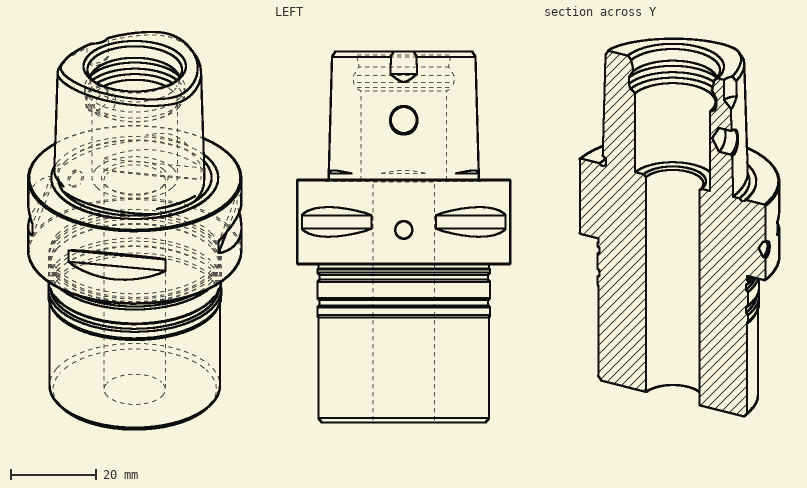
import cadquery as cq
import math

total_height = 87.0
flange_dia = 50.0
flange_bottom = 37.1
flange_top = 57.0
flange_chamfer = 0.3

shank_bottom = 59.2
shank_radius = 17.6
lobe_height = 1.3
taper = 0.028
span_count = 6
span_steps = 8
shank_edge_height = 1.3
shank_edge_inset = 0.8

neck_radius = 18.0
neck_slope_height = 0.8
neck_slope_width = 1.0
face_groove_radius = 19.6
face_groove_depth = 0.5

pilot_dia = 40.0
collar_dia = 40.5
groove_dia = 39.5
collar_step = (collar_dia - pilot_dia) / 2
groove_step = (collar_dia - groove_dia) / 2
lip_top = 35.85
lip_bottom = 35.15
upper_collar_top = 33.0
upper_collar_bottom = 29.2
lower_collar_top = 27.0
lower_collar_bottom = 25.2
pilot_shoulder = 24.6
pilot_chamfer_height = 1.05
pilot_chamfer_inset = 0.9

bore_dia = 14.35
bore_mouth_dia = 15.6
counterbore_dia = 20.0
counterbore_floor = flange_top
counterbore_top = 77.7
mouth_dia = 24.0
socket_dia = 22.2
socket_throat_dia = 21.0
socket_groove_dia = 23.5
socket_groove_top = 83.35
socket_groove_edge = 81.35
socket_groove_bottom = 79.7
socket_seat_dia = 22.6
socket_seat_height = 78.5

slot_count = 4
slot_floor_distance = 22.2
slot_floor_width = 3.05
slot_corner_depth = 0.65
slot_corner_rise = 0.565
slot_mouth_width = 7.0
slot_height = (flange_bottom + flange_top) / 2

notch_radius = 3.7
notch_axis = 17.6
notch_bottom = 81.7
pocket_dia = 6.1
pocket_height = 70.9
pocket_depth = 3.5
pocket_chamfer = 0.35
dimple_dia = 4.0
dimple_height = 45.15
dimple_depth = 0.7
dimple_chamfer = 0.1
drill_point_angle = 118


def revolve_profile(points):
    """Revolve an (r, z) outline about the Z axis."""
    return cq.Workplane("XZ").polyline(points).close().revolve(360, (0, 0), (0, 1))


def lobed_section(height, radius):
    """Closed three-lobed curve of width 2 * radius, with one lobe toward +X.

    It is made of smooth spans, meeting midway between each lobe and its neighbouring flat.
    """

    def point(angle):
        x = radius * math.cos(angle) + lobe_height * (2 * math.cos(2 * angle) - math.cos(4 * angle))
        y = radius * math.sin(angle) - lobe_height * (2 * math.sin(2 * angle) + math.sin(4 * angle))
        return cq.Vector(x, y, height)

    def tangent(angle):
        return cq.Vector(-math.sin(angle), math.cos(angle), 0)

    span = 2 * math.pi / span_count
    edges = []
    for index in range(span_count):
        start = (index + 0.5) * span
        points = [point(start + span * step / span_steps) for step in range(span_steps + 1)]
        edges.append(cq.Edge.makeSpline(points, tangents=[tangent(start), tangent(start + span)]))
    return cq.Wire.assembleEdges(edges)


def lobed_frustum(bottom, bottom_radius, top, top_radius):
    """Tapered solid between two lobed sections."""
    sections = [lobed_section(bottom, bottom_radius), lobed_section(top, top_radius)]
    return cq.Workplane(cq.Solid.makeLoft(sections, True))


def make_shank():
    edge_height = total_height - shank_edge_height
    edge_radius = shank_radius - taper * (edge_height - shank_bottom)
    root = lobed_frustum(flange_top, shank_radius, shank_bottom, shank_radius)
    body = lobed_frustum(shank_bottom, shank_radius, edge_height, edge_radius)
    edge = lobed_frustum(edge_height, edge_radius, total_height, edge_radius - shank_edge_inset)
    root = root.intersect(revolve_profile([
        (0, flange_top),
        (neck_radius, flange_top),
        (neck_radius, shank_bottom - neck_slope_height),
        (neck_radius + neck_slope_width, shank_bottom),
        (0, shank_bottom),
    ]))
    return root.union(body).union(edge)


def make_flange():
    flange = (
        cq.Workplane("XY", origin=(0, 0, flange_bottom))
        .circle(flange_dia / 2)
        .extrude(flange_top - flange_bottom)
        .faces("<Z or >Z")
        .chamfer(flange_chamfer)
    )
    groove_middle = (neck_radius + face_groove_radius) / 2
    recess = (
        cq.Workplane("XZ")
        .moveTo(neck_radius, flange_top)
        .threePointArc((groove_middle, flange_top - face_groove_depth), (face_groove_radius, flange_top))
        .close()
        .revolve(360, (0, 0), (0, 1))
    )
    return flange.cut(recess)


def make_pilot():
    pilot = pilot_dia / 2
    collar = collar_dia / 2
    groove = groove_dia / 2
    return revolve_profile([
        (0, 0),
        (pilot - pilot_chamfer_inset, 0),
        (pilot, pilot_chamfer_height),
        (pilot, pilot_shoulder),
        (collar, lower_collar_bottom),
        (collar, lower_collar_top),
        (groove, lower_collar_top + groove_step),
        (groove, upper_collar_bottom - groove_step),
        (collar, upper_collar_bottom),
        (collar, upper_collar_top),
        (groove, upper_collar_top + groove_step),
        (groove, lip_bottom - groove_step),
        (collar, lip_bottom),
        (collar, lip_top),
        (pilot, lip_top + collar_step),
        (pilot, flange_bottom),
        (0, flange_bottom),
    ])


def make_bore():
    socket = socket_dia / 2
    groove = socket_groove_dia / 2
    counterbore = counterbore_dia / 2
    bore_chamfer = (bore_mouth_dia - bore_dia) / 2
    return revolve_profile([
        (0, 0),
        (bore_dia / 2, 0),
        (bore_dia / 2, counterbore_floor - bore_chamfer),
        (bore_mouth_dia / 2, counterbore_floor),
        (counterbore, counterbore_floor),
        (counterbore, counterbore_top),
        (socket_seat_dia / 2, socket_seat_height),
        (groove, socket_groove_bottom),
        (groove, socket_groove_edge),
        (socket_throat_dia / 2, socket_groove_top),
        (socket, total_height - (mouth_dia - socket_dia) / 2),
        (mouth_dia / 2, total_height),
        (0, total_height),
    ])


def make_gripper_slot():
    """Flaring groove with bevelled corners, running along Y on the +X side of the flange."""
    corner_distance = slot_floor_distance + slot_corner_depth
    half_floor = slot_floor_width / 2
    half_corner = half_floor + slot_corner_rise
    half_mouth = slot_mouth_width / 2
    return (
        cq.Workplane("XZ", origin=(0, 0, slot_height))
        .polyline([
            (slot_floor_distance, -half_floor),
            (corner_distance, -half_corner),
            (flange_dia / 2, -half_mouth),
            (flange_dia / 2, half_mouth),
            (corner_distance, half_corner),
            (slot_floor_distance, half_floor),
        ])
        .close()
        .extrude(flange_dia / 2, both=True)
    )


def make_notch():
    """Upright drilled notch with a 45 degree conical end."""
    return revolve_profile([
        (0, notch_bottom - notch_radius),
        (notch_radius, notch_bottom),
        (notch_radius, total_height),
        (0, total_height),
    ]).translate((-notch_axis, 0, 0))


def make_blind_hole(diameter, depth, height, surface_distance, mouth_chamfer):
    """Hole with a drill point, sunk along +X from the given distance on the -X side."""
    radius = diameter / 2
    mouth_radius = radius + mouth_chamfer
    point_length = radius / math.tan(math.radians(drill_point_angle / 2))
    bottom = depth - surface_distance
    outline = [
        (-flange_dia, 0),
        (-flange_dia, mouth_radius),
        (-surface_distance, mouth_radius),
        (mouth_chamfer - surface_distance, radius),
        (bottom, radius),
        (bottom + point_length, 0),
    ]
    return (
        cq.Workplane("XY", origin=(0, 0, height))
        .polyline(outline)
        .close()
        .revolve(360, (0, 0), (1, 0))
    )


result = make_flange().union(make_pilot()).union(make_shank())
result = result.cut(make_bore()).cut(make_notch())

for index in range(slot_count):
    turn = 360 / slot_count * (index + 0.5)
    result = result.cut(make_gripper_slot().rotate((0, 0, 0), (0, 0, 1), turn))

pocket_surface = shank_radius - lobe_height - taper * (pocket_height - shank_bottom)
result = result.cut(make_blind_hole(pocket_dia, pocket_depth, pocket_height, pocket_surface, pocket_chamfer))

result = result.cut(make_blind_hole(dimple_dia, dimple_depth, dimple_height, flange_dia / 2, dimple_chamfer))